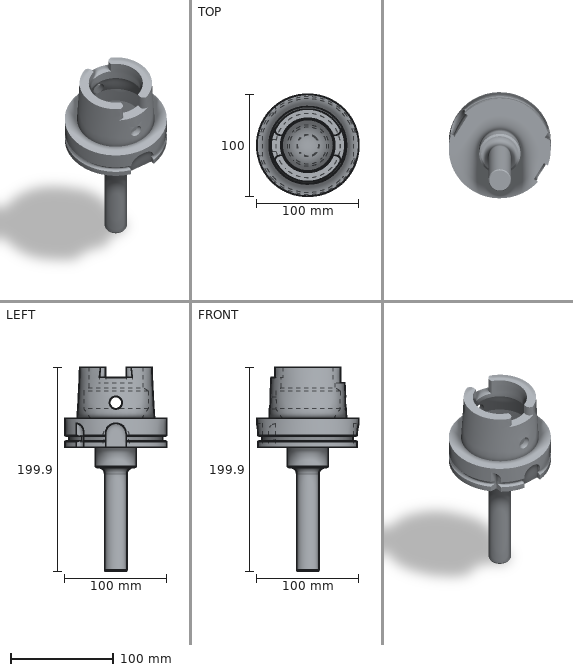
import cadquery as cq
import math

total_height = 199.9
flange_top = 150.0
flange_bottom = 121.3
boss_bottom = 101.5

flange_radius = 50.0
boss_radius = 20.2
shank_radius = 11.0
taper_base_radius = 38.0
taper_slope = 0.05
taper_top_radius = taper_base_radius - taper_slope * (total_height - flange_top)

boss_chamfer_width = 2.0
boss_chamfer_height = 1.2
shank_chamfer_width = 0.8
shank_chamfer_height = 1.5
neck_fillet = 6.0

groove_radius = 46.0
groove_bottom = 128.0
groove_top = 132.1
groove_flare = 1.0
groove_flare_depth = 2.0

mouth_radius = 26.49
chamber_radius = 31.5
floor_edge_radius = 25.2
mouth_depth = 20.0
undercut_angle = 60.0
chamber_bottom = 159.5
floor_height = 150.0

cross_hole_radius = 6.0
cross_hole_height = 165.1

drive_slot_width = 20.0
drive_shoulder = 32.2
drive_corner_radius = 5.0
drive_depth_left = 10.0
drive_depth_right = 15.2

keyway_radius_left = 10.0
keyway_radius_right = 13.0
keyway_floor = 44.4
arch_top = 145.0
notch_floor = 31.8
notch_wall = 31.5
notch_radius = 8.0


def turned_body():
    """Taper, grooved flange, boss and shank as one revolved outline."""
    lip = groove_radius + groove_flare_depth
    neck_radius = shank_radius + neck_fillet
    arc_offset = neck_fillet * (1 - math.sqrt(0.5))
    return (
        cq.Workplane("XZ")
        .moveTo(0, 0)
        .lineTo(shank_radius - shank_chamfer_width, 0)
        .lineTo(shank_radius, shank_chamfer_height)
        .lineTo(shank_radius, boss_bottom - neck_fillet)
        .threePointArc(
            (shank_radius + arc_offset, boss_bottom - arc_offset),
            (neck_radius, boss_bottom),
        )
        .lineTo(boss_radius - boss_chamfer_width, boss_bottom)
        .lineTo(boss_radius, boss_bottom + boss_chamfer_height)
        .lineTo(boss_radius, flange_bottom)
        .lineTo(flange_radius, flange_bottom)
        .lineTo(flange_radius, groove_bottom - groove_flare)
        .lineTo(lip, groove_bottom)
        .lineTo(groove_radius, groove_bottom)
        .lineTo(groove_radius, groove_top)
        .lineTo(lip, groove_top)
        .lineTo(flange_radius, groove_top + groove_flare)
        .lineTo(flange_radius, flange_top)
        .lineTo(taper_base_radius, flange_top)
        .lineTo(taper_top_radius, total_height)
        .lineTo(0, total_height)
        .close()
        .revolve(360, (0, 0, 0), (0, 1, 0))
    )


def clamping_bore():
    """Bore with a narrow mouth, a wider chamber and a steep conical floor edge."""
    mouth_bottom = total_height - mouth_depth
    undercut_height = (chamber_radius - mouth_radius) / math.tan(math.radians(undercut_angle))
    return (
        cq.Workplane("XZ")
        .moveTo(0, floor_height)
        .lineTo(floor_edge_radius, floor_height)
        .lineTo(chamber_radius, chamber_bottom)
        .lineTo(chamber_radius, mouth_bottom - undercut_height)
        .lineTo(mouth_radius, mouth_bottom)
        .lineTo(mouth_radius, total_height)
        .lineTo(0, total_height)
        .close()
        .revolve(360, (0, 0, 0), (0, 1, 0))
    )


def cross_hole():
    return (
        cq.Workplane("YZ")
        .center(0, cross_hole_height)
        .circle(cross_hole_radius)
        .extrude(taper_base_radius, both=True)
    )


def drive_slot(side, depth):
    """Slot through the rim on one X side, with rounded shoulders outside."""
    half_width = drive_slot_width / 2
    reach = taper_base_radius
    floor = total_height - depth
    channel = cq.Workplane("XY", origin=(side * reach / 2, 0, floor)).box(
        reach, drive_slot_width, depth, centered=(True, True, False)
    )
    outer = cq.Workplane("XY", origin=(0, 0, floor))
    arc_start = drive_shoulder - drive_corner_radius
    arc_end = half_width + drive_corner_radius
    arc_offset = drive_corner_radius * (1 - math.sqrt(0.5))
    shoulders = (
        outer.moveTo(side * arc_start, -half_width)
        .threePointArc(
            (side * (drive_shoulder - arc_offset), -half_width - arc_offset),
            (side * drive_shoulder, -arc_end),
        )
        .lineTo(side * drive_shoulder, -reach)
        .lineTo(side * reach, -reach)
        .lineTo(side * reach, reach)
        .lineTo(side * drive_shoulder, reach)
        .lineTo(side * drive_shoulder, arc_end)
        .threePointArc(
            (side * (drive_shoulder - arc_offset), half_width + arc_offset),
            (side * arc_start, half_width),
        )
        .close()
        .extrude(depth)
    )
    return channel.union(shoulders)


def arched_cut(side, floor, center_y, radius):
    """Round-topped cutter open at the flange bottom, running outward along X."""
    arc_center = arch_top - radius
    return (
        cq.Workplane("YZ", origin=(side * floor, center_y, 0))
        .moveTo(-radius, flange_bottom)
        .lineTo(-radius, arc_center)
        .threePointArc(
            (0, arch_top),
            (radius, arc_center),
        )
        .lineTo(radius, flange_bottom)
        .close()
        .extrude(side * flange_radius)
    )


result = turned_body().cut(clamping_bore()).cut(cross_hole())

for side, depth, keyway_radius in (
    (-1, drive_depth_left, keyway_radius_left),
    (1, drive_depth_right, keyway_radius_right),
):
    result = result.cut(drive_slot(side, depth))
    result = result.cut(arched_cut(side, keyway_floor, 0, keyway_radius))

result = result.cut(arched_cut(-1, notch_floor, notch_wall + notch_radius, notch_radius))